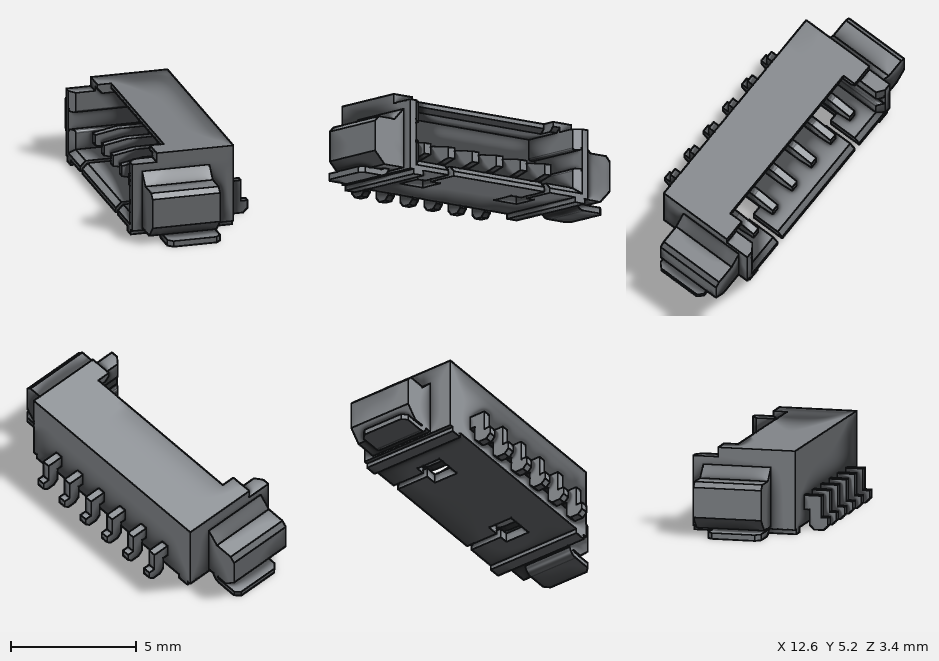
import cadquery as cq
import math

housing_half_width = 4.63
housing_depth = 4.21
housing_bottom = 0.2
housing_top = 3.4

cavity_half_width = 4.02
cavity_depth = 2.93
cavity_floor = 0.62
cavity_top = 3.02
mouth_chamfer_depth = 0.23
mouth_chamfer_side = 0.3
mouth_half_width = cavity_half_width + mouth_chamfer_side
mouth_chamfer_floor = 0.23

roof_setback = 1.02
roof_notch_setback = 1.6
roof_notch_half_width = 3.68
roof_chamfer = 0.19

groove_center_z = 1.8
groove_half_height = 0.38
groove_lip_radius = 0.09

contact_count = 6
contact_pitch = 1.25
contact_thickness = 0.32

blade_tip_y = 0.72
blade_tip_bottom = 1.11
blade_tip_top = 1.54
blade_bottom_taper_y = 1.34
blade_top_taper_y = 1.68
blade_bottom = 0.96
blade_top = 1.72
blade_back_y = (cavity_depth + housing_depth) / 2
shank_bottom = 0.81
shank_top = 1.38
leg_front = 4.44
leg_back = 4.92
leg_chamfer = 0.19
toe_back = 5.2
toe_top = 0.5

slot_center_x = 2 * contact_pitch
slot_width = 0.29
window_center_x = 2.44
window_width = 1.19
window_front = 1.44
window_back = 2.53

foot_inner_x = 3.96
foot_outer_x = 4.47

wing_front = 0.42
wing_back = 3.21
wing_half_span = 6.12
wing_bottom = 0.3
wing_top = 2.21
wing_bottom_chamfer = 0.49
wing_top_chamfer = 0.2
wing_root_slope = 0.48

tab_half_span = 6.32
tab_thickness = 0.24
tab_front = roof_setback
tab_back = wing_back
tab_bend_x = 5.28
tab_bend_radius = 0.15
tab_corner_chamfer = 0.2
tab_top = 0.81


def box(x_range, y_range, z_range):
    """Box spanning the given (min, max) ranges."""
    sizes = [high - low for low, high in (x_range, y_range, z_range)]
    corner = (x_range[0], y_range[0], z_range[0])
    return cq.Workplane("XY").box(*sizes, centered=False).translate(corner)


def wide_box(half_width, y_range, z_range):
    """Box centred on X = 0."""
    return box((-half_width, half_width), y_range, z_range)


def both_sides(right_half):
    """The given shape together with its mirror image across X = 0."""
    return right_half.union(right_half.mirror("YZ"))


def along_x(profile, half_width):
    """Extrude a list of (Y, Z) points symmetrically about X = 0."""
    return cq.Workplane("YZ").polyline(profile).close().extrude(half_width, both=True)


def make_roof_cut():
    """Space in front of the roof edge, including the chamfer under that edge."""
    cut = wide_box(roof_notch_half_width, (0, roof_notch_setback), (cavity_top, housing_top))
    cut = cut.union(wide_box(housing_half_width, (0, roof_setback), (cavity_top, housing_top)))
    edges = (
        (roof_setback, cavity_half_width),
        (roof_notch_setback, roof_notch_half_width),
    )
    for edge_y, half_width in edges:
        chamfer = along_x(
            [
                (edge_y, cavity_top),
                (edge_y + roof_chamfer, cavity_top),
                (edge_y, cavity_top + roof_chamfer),
            ],
            half_width,
        )
        cut = cut.union(chamfer)
    return cut


def make_mouth_cut():
    """Chamfers at the front edges of the cavity floor and side walls."""
    outer_floor = cavity_floor - mouth_chamfer_floor
    front = cq.Workplane("XZ").moveTo(-mouth_half_width, outer_floor)
    front = front.lineTo(mouth_half_width, outer_floor).lineTo(mouth_half_width, cavity_top)
    front = front.lineTo(-mouth_half_width, cavity_top).close()
    mouth = front.workplane(offset=-mouth_chamfer_depth).moveTo(-cavity_half_width, cavity_floor)
    mouth = mouth.lineTo(cavity_half_width, cavity_floor).lineTo(cavity_half_width, cavity_top)
    return mouth.lineTo(-cavity_half_width, cavity_top).close().loft(ruled=True)


def make_groove_cut():
    """Groove across both side walls, flaring in a rounded lip at each end of its section."""
    r = groove_lip_radius
    sag = r * (1 - math.sqrt(0.5))
    wide = groove_half_height + r
    narrow = groove_half_height
    inner = cavity_half_width
    outer = mouth_half_width
    right_half = (
        cq.Workplane("XZ", origin=(0, 0, groove_center_z))
        .moveTo(inner, -wide)
        .threePointArc((inner + sag, -narrow - sag), (inner + r, -narrow))
        .lineTo(outer - r, -narrow)
        .threePointArc((outer - sag, -narrow - sag), (outer, -wide))
        .lineTo(outer, wide)
        .threePointArc((outer - sag, narrow + sag), (outer - r, narrow))
        .lineTo(inner + r, narrow)
        .threePointArc((inner + sag, narrow + sag), (inner, wide))
        .close()
        .extrude(-cavity_depth)
    )
    return both_sides(right_half)


def make_floor_slots():
    """Slots from the front edge, widening into windows short of the back wall."""
    z_range = (housing_bottom, cavity_floor)

    def opening(center_x, width, y_range):
        return box((center_x - width / 2, center_x + width / 2), y_range, z_range)

    slot = opening(slot_center_x, slot_width, (0, window_front))
    window = opening(window_center_x, window_width, (window_front, window_back))
    return both_sides(slot.union(window))


def make_housing():
    body = wide_box(housing_half_width, (0, housing_depth), (housing_bottom, housing_top))
    body = body.cut(wide_box(cavity_half_width, (0, cavity_depth), (cavity_floor, cavity_top)))
    for cut in (make_roof_cut(), make_mouth_cut(), make_groove_cut(), make_floor_slots()):
        body = body.cut(cut)
    feet = both_sides(box((foot_inner_x, foot_outer_x), (0, housing_depth), (0, housing_bottom)))
    return body.union(feet)


def make_wings():
    profile = [
        (housing_half_width, wing_bottom),
        (wing_half_span - wing_bottom_chamfer, wing_bottom),
        (wing_half_span, wing_bottom + wing_bottom_chamfer),
        (wing_half_span, wing_top - wing_top_chamfer),
        (wing_half_span - wing_top_chamfer, wing_top),
        (housing_half_width + wing_root_slope, wing_top),
        (housing_half_width, wing_top + wing_root_slope),
    ]
    wing = cq.Workplane("XZ", origin=(0, wing_front, 0)).polyline(profile).close()
    return both_sides(wing.extrude(wing_front - wing_back))


def make_solder_tabs():
    """Flat tab that bends up into the wing."""
    inside = tab_bend_radius
    outside = inside + tab_thickness
    bend_z = outside
    diagonal = math.sqrt(0.5)
    tab = (
        cq.Workplane("XZ", origin=(0, tab_front, 0))
        .moveTo(tab_half_span, 0)
        .lineTo(tab_bend_x, 0)
        .threePointArc(
            (tab_bend_x - outside * diagonal, bend_z - outside * diagonal),
            (tab_bend_x - outside, bend_z),
        )
        .lineTo(tab_bend_x - outside, tab_top)
        .lineTo(tab_bend_x - inside, tab_top)
        .lineTo(tab_bend_x - inside, bend_z)
        .threePointArc(
            (tab_bend_x - inside * diagonal, bend_z - inside * diagonal),
            (tab_bend_x, tab_thickness),
        )
        .lineTo(tab_half_span, tab_thickness)
        .close()
        .extrude(tab_front - tab_back)
        .faces(">X")
        .edges("|Z")
        .chamfer(tab_corner_chamfer)
    )
    return both_sides(tab)


def make_contact():
    """Flat contact: tapered blade in the cavity, solder leg behind the housing."""
    profile = [
        (blade_tip_y, blade_tip_bottom),
        (blade_bottom_taper_y, blade_bottom),
        (blade_back_y, blade_bottom),
        (blade_back_y, shank_bottom),
        (leg_front, shank_bottom),
        (leg_front, leg_chamfer),
        (leg_front + leg_chamfer, 0),
        (toe_back - leg_chamfer, 0),
        (toe_back, leg_chamfer),
        (toe_back, toe_top),
        (leg_back, toe_top),
        (leg_back, shank_top),
        (blade_back_y, shank_top),
        (blade_back_y, blade_top),
        (blade_top_taper_y, blade_top),
        (blade_tip_y, blade_tip_top),
    ]
    return along_x(profile, contact_thickness / 2)


result = make_housing().union(make_wings()).union(make_solder_tabs())
contact = make_contact()
for index in range(contact_count):
    contact_x = (index - (contact_count - 1) / 2) * contact_pitch
    result = result.union(contact.translate((contact_x, 0, 0)))